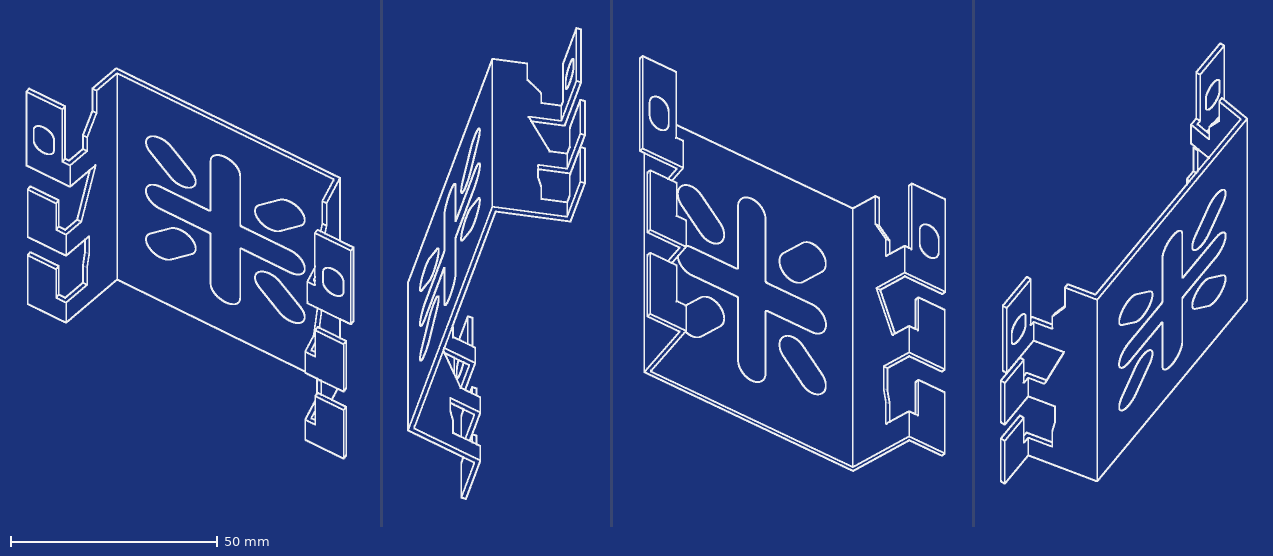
import cadquery as cq
import math

sheet = 1.2
height = 79.0
plate_half_width = 32.2
flange_angle = 10.0
depth = 19.3
upper_tab_depth = 17.9

upper_bottom, upper_floor, upper_top = 50.7, 58.9, height
middle_bottom, middle_floor, middle_top = 25.6, 33.8, 43.8
lower_bottom, lower_floor, lower_top = 0.0, 7.7, 18.65

upper_outer, upper_inner = 46.6, 36.3
lower_outer, lower_inner = 45.4, 37.2

upper_edge, notch_edge = 8.5, 11.8
upper_edge_bottom, upper_slope_bottom = 70.4, 64.2
middle_slope_top_edge, middle_slope_bottom_edge = 8.8, 13.9
lower_edge = 11.1
lower_edge_bottom, lower_slope_bottom = 18.9, 14.4

pad_rise = 0.1
pad_width = 8.5
cross_height = 55.5
cross_width = 45.7
cross_fillet = 0.5
diagonal_length = 16.7
diagonal_offset = 15.7
tab_pad_width, tab_pad_height = 5.9, 9.7
tab_pad_x, tab_pad_z = 41.6, 63.8

flange_slope = math.tan(math.radians(flange_angle))
flange_thickness_x = sheet / math.cos(math.radians(flange_angle))


def outer_x(y_depth):
    """Half span of the flange's outer face at a depth from the back face."""
    return plate_half_width + y_depth * flange_slope


def inner_x(y_depth):
    """Half span of the flange's inner face at a depth from the back face."""
    return outer_x(y_depth) - flange_thickness_x


def xz_plate(outline, front_depth, thickness):
    """Extrude an XZ outline backward from its front face."""
    return outline.extrude(-thickness).translate((0, -front_depth, 0))


def make_plate():
    section = [
        (-outer_x(0), 0),
        (outer_x(0), 0),
        (outer_x(sheet), -sheet),
        (-outer_x(sheet), -sheet),
    ]
    return cq.Workplane("XY").polyline(section).close().extrude(height)


def make_flange():
    section = [
        (outer_x(0), 0),
        (outer_x(depth), -depth),
        (inner_x(depth), -depth),
        (inner_x(0), 0),
    ]
    leaning_wall = cq.Workplane("XY").polyline(section).close().extrude(height)
    edge = [
        (0, 0),
        (-depth, 0),
        (-depth, lower_floor),
        (-notch_edge, lower_floor),
        (-notch_edge, lower_slope_bottom),
        (-lower_edge, lower_edge_bottom),
        (-lower_edge, middle_bottom),
        (-depth, middle_bottom),
        (-depth, middle_floor),
        (-middle_slope_bottom_edge, middle_floor),
        (-middle_slope_top_edge, upper_bottom),
        (-upper_tab_depth, upper_bottom),
        (-upper_tab_depth, upper_floor),
        (-notch_edge, upper_floor),
        (-notch_edge, upper_slope_bottom),
        (-upper_edge, upper_edge_bottom),
        (-upper_edge, height),
        (0, height),
    ]
    edge_shape = cq.Workplane("YZ").polyline(edge).close().extrude(upper_outer)
    return leaning_wall.intersect(edge_shape)


def make_tab(front_depth, bottom, floor, top, upright_inner, upright_outer):
    """L-shaped tab whose foot joins the flange under the notch."""
    root_x = inner_x(front_depth)
    outline = cq.Workplane("XZ").polyline([
        (root_x, bottom),
        (upright_outer, bottom),
        (upright_outer, top),
        (upright_inner, top),
        (upright_inner, floor),
        (root_x, floor),
    ]).close()
    tab = xz_plate(outline, front_depth, sheet)
    inside = cq.Workplane("XY").polyline([
        (0, 0),
        (inner_x(0), 0),
        (inner_x(depth), -depth),
        (0, -depth),
    ]).close().extrude(height)
    return tab.cut(inside)


def make_pad(x, z, length, width, angle, front_depth):
    """Rounded slot-shaped pad standing proud of both faces of the sheet."""
    outline = cq.Workplane("XZ").center(x, z).slot2D(length, width, angle)
    return xz_plate(outline, front_depth + pad_rise, sheet + 2 * pad_rise)


def make_cross():
    middle = height / 2
    upright = make_pad(0, middle, cross_height, pad_width, 90, sheet)
    bar = make_pad(0, middle, cross_width, pad_width, 0, sheet)
    corners = cq.selectors.BoxSelector(
        (-pad_width, -depth, middle - pad_width),
        (pad_width, depth, middle + pad_width),
    )
    return upright.union(bar).edges("|Y").edges(corners).fillet(cross_fillet)


right_side = make_flange()
right_side = right_side.union(
    make_tab(upper_tab_depth, upper_bottom, upper_floor, upper_top, upper_inner, upper_outer)
)
for bottom, floor, top in (
    (middle_bottom, middle_floor, middle_top),
    (lower_bottom, lower_floor, lower_top),
):
    right_side = right_side.union(make_tab(depth, bottom, floor, top, lower_inner, lower_outer))
right_side = right_side.union(
    make_pad(tab_pad_x, tab_pad_z, tab_pad_height, tab_pad_width, 90, upper_tab_depth)
)

result = make_plate().union(right_side).union(right_side.mirror("YZ")).union(make_cross())

for side_x in (-1, 1):
    for side_z in (-1, 1):
        pad_x = side_x * diagonal_offset
        pad_z = height / 2 + side_z * diagonal_offset
        pad_angle = 45 * side_x * side_z
        result = result.union(make_pad(pad_x, pad_z, diagonal_length, pad_width, pad_angle, sheet))